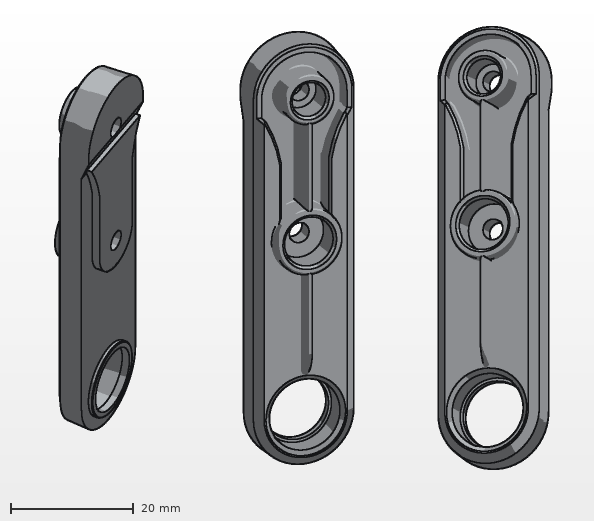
import cadquery as cq
import math


end_radius = 9.0
depth = 8.4
wall_draft = 3.0
foot_z = -55.0
bar_back_x = 7.0
bar_front_x = 1.9
bevel_x = 2.9
bevel_inner_radius = 7.2
step_top_z = -1.2
step_bottom_z = -4.9

shelf_x = 2.6
shelf_end_z = -3.0
shelf_slope_end_z = -4.0

floor_x = 5.0
pocket_radius = 7.4
neck_half_width = 4.1
flare_top = (6.7, -3.8)
flare_middle = (5.4, -6.5)
neck_top_z = -11.2
floor_fillet = 0.45
neck_rim_bevel = 0.4
flare_corner_radius = 0.5

through_radius = 1.7
head_boss_radius = 4.3
head_bore_radius = 2.9
middle_z = -24.5
neck_end_z = middle_z + 2
middle_boss_radius = 5.7
middle_bore_radius = 4.2
bore_floor_x = 5.0
boss_edge_fillet = 0.45
bar_face_fillet = 0.25
bore_mouth_bevel = 0.45
root_x = 6.0

rib_width = 1.2
rib_edge_fillet = 0.55
rib_run_out_z = -43.8
rib_run_out_radius = 5.3

backing_half_width = 5.4
backing_flare_top = (8.0, -3.5)
backing_flare_middle = (6.7, -6.2)
backing_neck_top_z = -10.7
gusset_length = 1.65

bearing_bore_radius = 5.6
bearing_seat_radius = 6.1
bearing_seat_floor_x = 6.4
bearing_mouth_radius = 6.9
bearing_mouth_depth = 0.5
ring_radius = 6.65
ring_back_x = 7.75
ring_edge_chamfer = 0.15

edge_tolerance = 0.01


def plane_at(x):
    """Work plane facing +X whose local axes are Y and Z."""
    return cq.Workplane("YZ", origin=(x, 0, 0))


def cylinder(radius, z, x_start, x_end):
    return plane_at(x_start).center(0, z).circle(radius).extrude(x_end - x_start)


def turned(profile, z):
    """Solid of revolution about X through height z from (x, radius) points."""
    return cq.Workplane("XY").polyline(profile).close().revolve(360, (0, 0, 0), (1, 0, 0)).translate((0, 0, z))


def side_profile(points, half_width):
    """Outline of (x, z) points extruded symmetrically in Y."""
    return cq.Workplane("XZ").polyline(points).close().extrude(half_width, both=True)


def outer_body():
    bevel_radius = end_radius - (depth - bevel_x) * math.tan(math.radians(wall_draft))
    outline = [
        (bar_front_x, bevel_inner_radius),
        (bevel_x, bevel_radius),
        (depth, end_radius),
    ]
    end_profile = [(bar_front_x, 0)] + outline + [(depth, 0)]
    bar_section = outline + [(x, -y) for x, y in reversed(outline)]
    bar = cq.Workplane("XY", origin=(0, 0, foot_z)).polyline(bar_section).close().extrude(-foot_z)
    body = bar.union(turned(end_profile, 0)).union(turned(end_profile, foot_z))
    below_foot_z = foot_z - 2 * end_radius
    back_step = side_profile(
        [
            (depth, step_top_z),
            (bar_back_x, step_bottom_z),
            (bar_back_x, below_foot_z),
            (2 * depth, below_foot_z),
            (2 * depth, step_top_z),
        ],
        2 * end_radius,
    )
    shelf = side_profile(
        [
            (shelf_x, 2 * end_radius),
            (shelf_x, shelf_end_z),
            (bar_front_x, shelf_slope_end_z),
            (0, shelf_slope_end_z),
            (0, 2 * end_radius),
        ],
        2 * end_radius,
    )
    return body.cut(back_step).cut(shelf)


def neck_backing():
    flare_y, flare_z = backing_flare_top
    side_y, side_z = backing_flare_middle
    backing = (
        plane_at(bar_back_x)
        .moveTo(-flare_y, flare_z)
        .lineTo(flare_y, flare_z)
        .threePointArc((side_y, side_z), (backing_half_width, backing_neck_top_z))
        .lineTo(backing_half_width, middle_z)
        .threePointArc((0, middle_z - backing_half_width), (-backing_half_width, middle_z))
        .lineTo(-backing_half_width, backing_neck_top_z)
        .threePointArc((-side_y, side_z), (-flare_y, flare_z))
        .close()
        .extrude(depth - bar_back_x)
    )
    gusset_top_z = middle_z - backing_half_width
    gusset = side_profile(
        [
            (bar_back_x, middle_z),
            (depth, middle_z),
            (depth, gusset_top_z),
            (bar_back_x, gusset_top_z - gusset_length),
        ],
        rib_width / 2,
    )
    return backing.union(gusset)


def pocket_outline(x):
    flare_y, flare_z = flare_top
    side_y, side_z = flare_middle
    return (
        plane_at(x)
        .moveTo(-pocket_radius, 0)
        .threePointArc((0, pocket_radius), (pocket_radius, 0))
        .lineTo(pocket_radius, shelf_end_z)
        .lineTo(flare_y, flare_z)
        .threePointArc((side_y, side_z), (neck_half_width, neck_top_z))
        .lineTo(neck_half_width, neck_end_z)
        .lineTo(-neck_half_width, neck_end_z)
        .lineTo(-neck_half_width, neck_top_z)
        .threePointArc((-side_y, side_z), (-flare_y, flare_z))
        .lineTo(-pocket_radius, shelf_end_z)
        .close()
    )


def pocket():
    shape = pocket_outline(floor_x).extrude(-floor_x)
    flare_corners = cq.selectors.BoxSelector(
        (0, -end_radius, neck_top_z - 1), (depth, end_radius, shelf_end_z + 1)
    )
    return shape.edges("|X").edges(flare_corners).fillet(flare_corner_radius)


def pocket_rim_bevel():
    """Widens the mouth of the neck at the bar face; it stays in front of the shelf round the head."""
    bevel = pocket_outline(bar_front_x + neck_rim_bevel)
    return bevel.extrude(-neck_rim_bevel, taper=-45)


def boss(radius, z):
    return cylinder(radius, z, 0, root_x).faces("<X").edges().fillet(boss_edge_fillet)


def stepped_bore(radius, z):
    """Blind bore with a bevelled mouth and a through hole in its floor."""
    profile = [
        (0, 0),
        (0, radius + bore_mouth_bevel),
        (bore_mouth_bevel, radius),
        (bore_floor_x, radius),
        (bore_floor_x, through_radius),
        (depth, through_radius),
        (depth, 0),
    ]
    return turned(profile, z)


def bearing_ring():
    ring = cylinder(ring_radius, foot_z, bar_back_x, ring_back_x)
    return ring.faces(">X").chamfer(ring_edge_chamfer)


def bearing_bore():
    """Through bore with a wider bearing seat and a bevelled mouth on the front."""
    mouth_end_x = bar_front_x + bearing_mouth_depth
    profile = [
        (bar_front_x, 0),
        (bar_front_x, bearing_mouth_radius),
        (mouth_end_x, bearing_seat_radius),
        (bearing_seat_floor_x, bearing_seat_radius),
        (bearing_seat_floor_x, bearing_bore_radius),
        (depth, bearing_bore_radius),
        (depth, 0),
    ]
    return turned(profile, foot_z)


def ribs():
    """One rib from the head boss past the middle boss, curving down into the bar above the foot."""
    drop = bar_front_x
    run_out_length = math.sqrt(rib_run_out_radius**2 - (rib_run_out_radius - drop) ** 2)
    half_angle = math.asin(run_out_length / rib_run_out_radius) / 2
    run_out_middle = (
        rib_run_out_radius * (1 - math.cos(half_angle)),
        rib_run_out_z - rib_run_out_radius * math.sin(half_angle),
    )
    run_out_end_z = rib_run_out_z - run_out_length
    rib = (
        cq.Workplane("XZ")
        .moveTo(0, 0)
        .lineTo(0, rib_run_out_z)
        .threePointArc(run_out_middle, (drop, run_out_end_z))
        .lineTo(bearing_seat_floor_x, run_out_end_z)
        .lineTo(root_x, 0)
        .close()
        .extrude(rib_width / 2, both=True)
    )
    crest = cq.selectors.BoxSelector((-1, -rib_width, rib_run_out_z - 1), (drop / 2, rib_width, -1))
    return rib.edges("|Z").edges(crest).fillet(rib_edge_fillet)


def flat_edges(solid, x, z_bottom, z_top):
    """Edges of the solid that lie in the plane at x, between two heights."""
    slab = cq.selectors.BoxSelector(
        (x - edge_tolerance, -end_radius, z_bottom), (x + edge_tolerance, end_radius, z_top), boundingbox=True
    )
    return solid.edges(slab)


def fillet_pocket_floor(solid):
    edges = flat_edges(solid, floor_x, middle_z, end_radius)
    return edges.fillet(floor_fillet)


def fillet_bar_face(solid):
    below_rib_z = rib_run_out_z - 1.5 * rib_run_out_radius
    edges = flat_edges(solid, bar_front_x, below_rib_z, middle_z + middle_boss_radius)
    return edges.fillet(bar_face_fillet)


body = outer_body().union(neck_backing()).cut(pocket()).cut(pocket_rim_bevel())
body = body.union(ribs())
body = body.union(boss(head_boss_radius, 0)).union(boss(middle_boss_radius, middle_z))
body = fillet_pocket_floor(body)
body = fillet_bar_face(body)
body = body.union(bearing_ring()).cut(bearing_bore())
body = body.cut(stepped_bore(head_bore_radius, 0)).cut(stepped_bore(middle_bore_radius, middle_z))
result = body